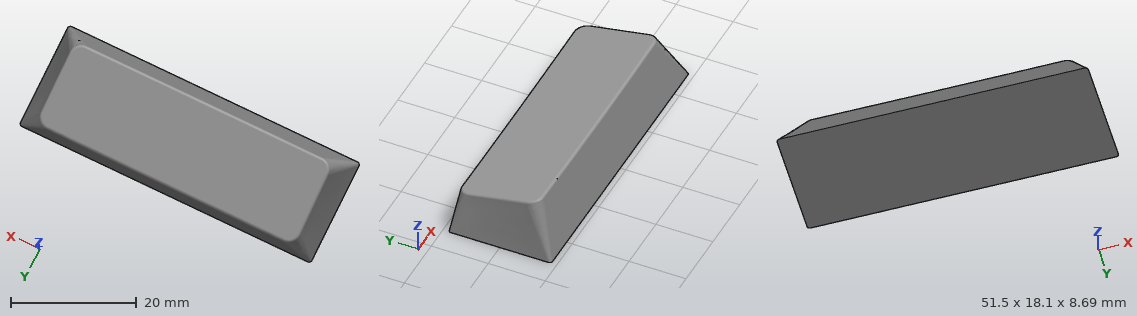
import cadquery as cq
import math

base_length = 51.45
base_width = 18.1
base_corner_radius = 0.5

top_length = 45.45
top_width = 14.5
top_corner_radius = 2.1
top_tilt = 11.0
top_centre_y = 1.8
top_centre_height = 7.4

dish_depth = 0.2
rim_radius = 0.45


def rounded_rectangle(plane, length, width, corner_radius):
    """Sketch of a rectangle with rounded corners, centred on the plane."""
    sketch = cq.Sketch().rect(length, width).vertices().fillet(corner_radius)
    return sketch.moved(plane.location)


def top_plane():
    """Plane of the top outline, its normal leaning toward +Y."""
    tilt = math.radians(top_tilt)
    return cq.Plane(
        origin=(0, top_centre_y, top_centre_height),
        xDir=(1, 0, 0),
        normal=(0, math.sin(tilt), math.cos(tilt)),
    )


def tapered_body():
    """Solid that blends the base outline into the tilted top outline."""
    base = rounded_rectangle(cq.Plane.XY(), base_length, base_width, base_corner_radius)
    top = rounded_rectangle(top_plane(), top_length, top_width, top_corner_radius)
    return cq.Workplane("XY").placeSketch(base, top).loft()


def dish_cutter():
    """Large cylinder that sinks to the dish depth midway along the top."""
    half_length = top_length / 2
    dish_radius = (half_length**2 + dish_depth**2) / (2 * dish_depth)
    plane = top_plane()
    across_top = cq.Plane(origin=plane.origin, xDir=(1, 0, 0), normal=plane.yDir.multiply(-1))
    return (
        cq.Workplane(across_top)
        .center(0, dish_radius - dish_depth)
        .circle(dish_radius)
        .extrude(base_width, both=True)
    )


dished_body = tapered_body().cut(dish_cutter())
result = dished_body.faces(">Z").edges().fillet(rim_radius)